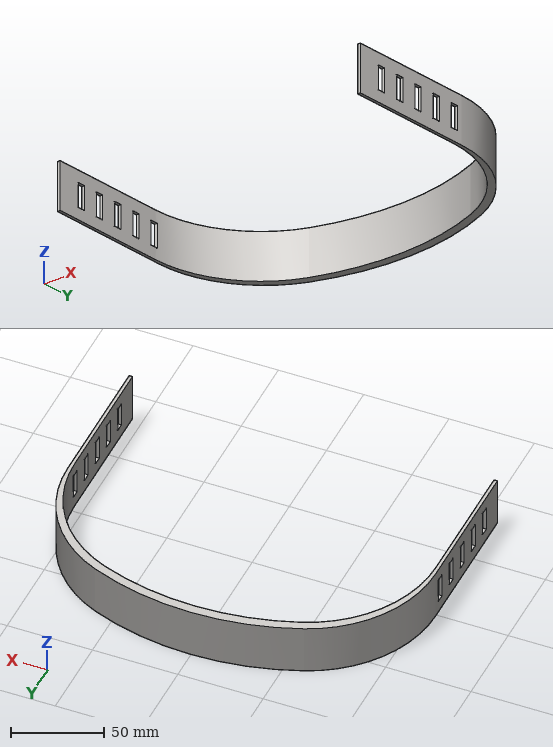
import cadquery as cq
import math

outer_width = 215.8
band_height = 30.0
leg_thickness = 2.0

crown_radius = 161.8
shoulder_radius = 75.0
outer_leg_length = 83.0
crown_setback = 5.0

slot_count = 5
slot_pitch = 14.9
slot_width = 5.0
slot_height = 14.9
end_to_first_slot = 17.5


def bow(half_width, leg_length):
    """Solid inside a U outline: straight legs, tangent shoulder arcs and a flatter crown arc."""
    shoulder_x = half_width - shoulder_radius
    center_distance = crown_radius - shoulder_radius
    crown_center_y = leg_length - math.sqrt(center_distance**2 - shoulder_x**2)
    crown_y = crown_center_y + crown_radius

    crown_half_angle = math.asin(shoulder_x / center_distance)
    join_x = crown_radius * math.sin(crown_half_angle)
    join_y = crown_center_y + crown_radius * math.cos(crown_half_angle)

    middle_angle = (crown_half_angle + math.pi / 2) / 2
    middle_x = shoulder_x + shoulder_radius * math.sin(middle_angle)
    middle_y = leg_length + shoulder_radius * math.cos(middle_angle)

    return (
        cq.Workplane("XY")
        .moveTo(-half_width, 0)
        .lineTo(-half_width, leg_length)
        .threePointArc((-middle_x, middle_y), (-join_x, join_y))
        .threePointArc((0, crown_y), (join_x, join_y))
        .threePointArc((middle_x, middle_y), (half_width, leg_length))
        .lineTo(half_width, 0)
        .close()
        .extrude(band_height)
    )


def slot_cutters():
    """Row of rectangular bars that pass through both legs."""
    centers = [
        (0, end_to_first_slot + index * slot_pitch, band_height / 2)
        for index in range(slot_count)
    ]
    cutter_length = 2 * outer_width
    return (
        cq.Workplane("XY")
        .pushPoints(centers)
        .box(cutter_length, slot_width, slot_height)
    )


outer_half_width = outer_width / 2
outer_bow = bow(outer_half_width, outer_leg_length)
inner_bow = bow(outer_half_width - leg_thickness, outer_leg_length - crown_setback)
result = outer_bow.cut(inner_bow).cut(slot_cutters())